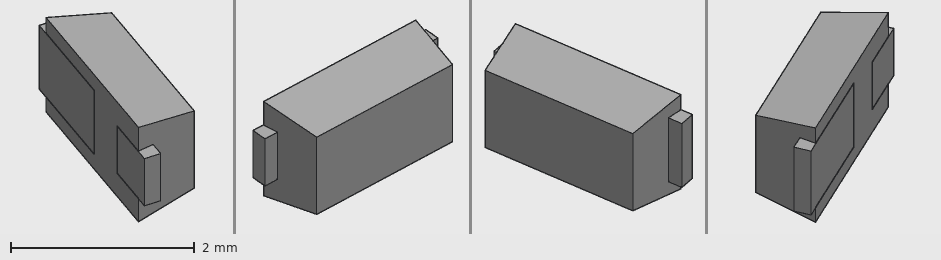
import cadquery as cq
import math

total_length = 2.5
total_depth = 0.75

body_length = 2.2
body_height = 1.3
draft_angle = 9.0

terminal_depth = 0.2
terminal_standoff = 0.005
large_terminal_length = 1.3
large_terminal_height = 0.88
small_terminal_size = 0.65

front_y = -total_depth / 2
body_front_y = front_y + terminal_standoff
body_depth = total_depth - terminal_standoff


def make_body():
    """Tapered block growing from its front face towards +Y."""
    taper_inset = body_depth * math.tan(math.radians(draft_angle))
    front_face = cq.Workplane("XZ", origin=(0, body_front_y, 0)).rect(body_length, body_height)
    return (
        front_face.workplane(offset=-body_depth)
        .rect(body_length - 2 * taper_inset, body_height - 2 * taper_inset)
        .loft(ruled=True)
    )


def make_terminal(length, height, center_x):
    """Flat rectangular terminal with its outer face on the front plane."""
    center_y = front_y + terminal_depth / 2
    return cq.Workplane("XY").box(length, terminal_depth, height).translate((center_x, center_y, 0))


large_terminal_x = (large_terminal_length - total_length) / 2
small_terminal_x = (total_length - small_terminal_size) / 2

result = (
    make_body()
    .union(make_terminal(large_terminal_length, large_terminal_height, large_terminal_x))
    .union(make_terminal(small_terminal_size, small_terminal_size, small_terminal_x))
)